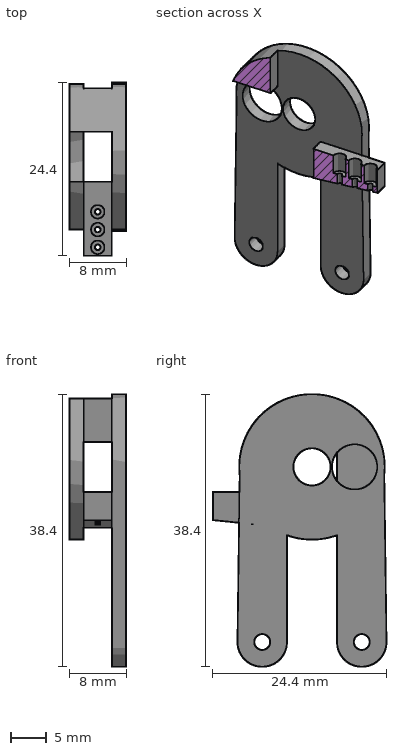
import cadquery as cq
import math


plate_thickness = 2.0
gap = 4.0
gap_start = plate_thickness
gap_end = gap_start + gap

disk_radius = 10.25
slot_half_width = 3.5
slot_floor_radius = 9.25
shaft_hole_diameter = 5.2
side_hole_diameter = 6.35
side_hole_y = 6.0

leg_radius = 3.5
leg_y = slot_half_width + leg_radius
leg_z = -24.63
leg_hole_diameter = 2.2
leg_edge_top_z = -1.17

arm_end_y = -13.95
arm_top_z = -slot_half_width
arm_end_height = 4.0
arm_root_height = 5.07
wire_hole_diameter = 0.75
wire_socket_diameter = 1.9
wire_socket_depth = 3.0
wire_pitch = 2.5
middle_wire_y = -10.25


def layer(start_x):
    """Sketch plane facing +X at the given X; its local axes are Y and Z."""
    return cq.Workplane("YZ", origin=(start_x, 0, 0))


def make_front_disk():
    """Disk with a slot that is open at the top and has a round floor."""
    disk = layer(0).circle(disk_radius).extrude(plate_thickness)
    slot_width = 2 * slot_half_width
    round_floor = layer(0).circle(slot_floor_radius).extrude(plate_thickness)
    below_center = layer(0).center(0, -disk_radius / 2).rect(slot_width, disk_radius).extrude(plate_thickness)
    above_center = layer(0).center(0, disk_radius / 2).rect(slot_width, disk_radius).extrude(plate_thickness)
    return disk.cut(below_center.intersect(round_floor)).cut(above_center)


def make_leg(side):
    """Leg on one side (+1 or -1), its outer edge flaring slightly from the disk rim to the round end."""
    edge_top_y = math.sqrt(disk_radius**2 - leg_edge_top_z**2)
    return (
        layer(gap_end)
        .moveTo(side * slot_half_width, leg_edge_top_z)
        .lineTo(side * slot_half_width, leg_z)
        .threePointArc(
            (side * leg_y, leg_z - leg_radius),
            (side * (leg_y + leg_radius), leg_z),
        )
        .lineTo(side * edge_top_y, leg_edge_top_z)
        .close()
        .extrude(plate_thickness)
    )


def make_back_plate():
    """Disk with two legs, the shaft hole, the side hole and a hole in each leg end."""
    plate = layer(gap_end).circle(disk_radius).extrude(plate_thickness)
    for side in (-1, 1):
        plate = plate.union(make_leg(side))
    leg_holes = (
        layer(gap_end)
        .pushPoints([(-leg_y, leg_z), (leg_y, leg_z)])
        .circle(leg_hole_diameter / 2)
        .extrude(plate_thickness)
    )
    shaft_hole = layer(gap_end).circle(shaft_hole_diameter / 2).extrude(plate_thickness)
    side_hole = layer(gap_end).center(side_hole_y, 0).circle(side_hole_diameter / 2).extrude(plate_thickness)
    return plate.cut(leg_holes).cut(shaft_hole).cut(side_hole)


def make_corner_spacer():
    """Upper spacer: the corner of the disk beyond the slot width in both +Y and +Z."""
    corner = (
        layer(gap_start)
        .moveTo(slot_half_width, slot_half_width)
        .rect(disk_radius, disk_radius, centered=False)
        .extrude(gap)
    )
    return corner.intersect(layer(gap_start).circle(disk_radius).extrude(gap))


def make_terminal_arm():
    """Lower spacer that reaches out in -Y, with a sloping underside and three wire sockets."""
    arm = (
        layer(gap_start)
        .moveTo(-slot_half_width, arm_top_z)
        .lineTo(arm_end_y, arm_top_z)
        .lineTo(arm_end_y, arm_top_z - arm_end_height)
        .lineTo(-slot_half_width, arm_top_z - arm_root_height)
        .close()
        .extrude(gap)
    )
    wire_x = gap_start + gap / 2
    wire_points = [(wire_x, middle_wire_y + step * wire_pitch) for step in (-1, 0, 1)]
    top_face = cq.Workplane("XY", origin=(0, 0, arm_top_z)).pushPoints(wire_points)
    wire_holes = top_face.circle(wire_hole_diameter / 2).extrude(-arm_root_height)
    sockets = top_face.circle(wire_socket_diameter / 2).extrude(-wire_socket_depth)
    return arm.cut(wire_holes).cut(sockets)


result = (
    make_back_plate()
    .union(make_corner_spacer())
    .union(make_terminal_arm())
    .union(make_front_disk())
)